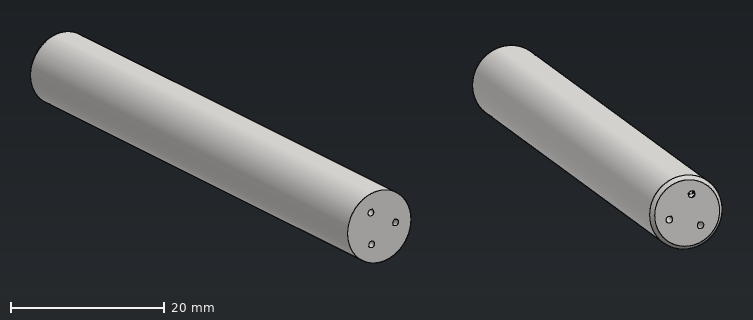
import cadquery as cq
import math

rod_length = 75.0
rod_diameter = 10.0
end_chamfer = 0.5

hole_count = 3
hole_diameter = 0.9
hole_circle_radius = 2.55
first_hole_angle = 104.0

helix_angle = 30.0
helix_pitch = math.pi * rod_diameter / math.tan(math.radians(helix_angle))
hole_twist = 360 * rod_length / helix_pitch


def make_rod():
    """Cylinder centred on the X axis, chamfered at its -X end."""
    rod = cq.Workplane("YZ").circle(rod_diameter / 2).extrude(rod_length)
    return rod.faces("<X").chamfer(end_chamfer)


def make_hole(angle):
    """Full-length cutter that winds right-handed around the rod axis."""
    center_y = hole_circle_radius * math.cos(math.radians(angle))
    center_z = hole_circle_radius * math.sin(math.radians(angle))
    return (
        cq.Workplane("YZ")
        .pushPoints([(center_y, center_z)])
        .circle(hole_diameter / 2)
        .twistExtrude(rod_length, hole_twist)
    )


result = make_rod()
for index in range(hole_count):
    result = result.cut(make_hole(first_hole_angle + index * 360 / hole_count))